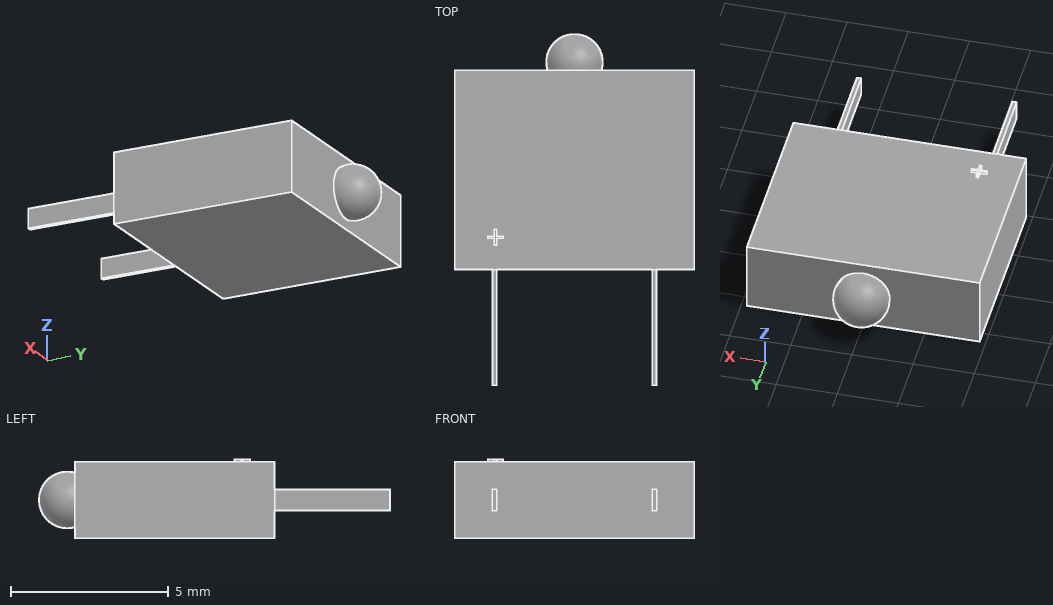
import cadquery as cq

body_width = 7.62
body_depth = 6.35
body_height = 2.44

lens_radius = 0.9
lens_protrusion = 1.15

lead_length = 3.67
lead_thickness = 0.15
lead_height = 0.67
lead_pitch = 5.08

plus_span = 0.5
plus_stroke = 0.07
plus_raise = 0.084
plus_from_side = 1.3
plus_from_front = 1.03


def make_body():
    return cq.Workplane("XY").box(body_width, body_depth, body_height, centered=(True, False, True))


def make_lens():
    center_y = body_depth + lens_protrusion - lens_radius
    return cq.Workplane("XY").sphere(lens_radius).translate((0, center_y, 0))


def make_lead(x):
    lead = cq.Workplane("XY").box(lead_thickness, lead_length, lead_height, centered=(True, False, True))
    return lead.translate((x, -lead_length, 0))


def make_plus_sign():
    plus_x = -body_width / 2 + plus_from_side
    base = cq.Workplane("XY", origin=(plus_x, plus_from_front, body_height / 2))
    across = base.rect(plus_span, plus_stroke).extrude(plus_raise)
    upright = base.rect(plus_stroke, plus_span).extrude(plus_raise)
    return across.union(upright)


result = make_body().union(make_lens()).union(make_plus_sign())
for side in (-1, 1):
    result = result.union(make_lead(side * lead_pitch / 2))